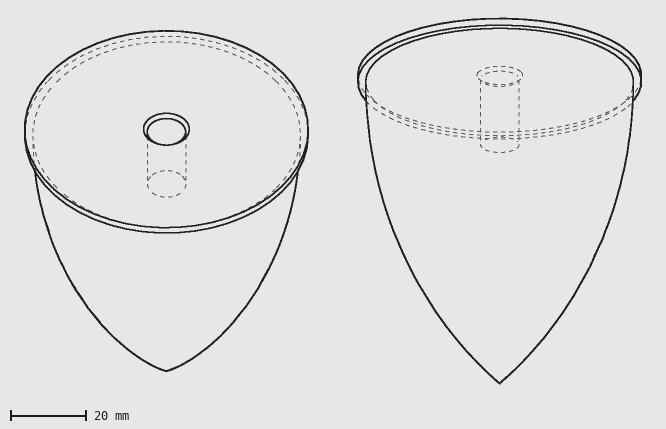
import cadquery as cq
import math

total_height = 89.0
flange_diameter = 75.0
flange_thickness = 2.0
body_diameter = 70.8
hole_diameter = 10.15
hole_depth = 20.0
hole_chamfer = 1.0

body_radius = body_diameter / 2
body_height = total_height - flange_thickness


def ogive_body():
    """Pointed body whose circular arc flank is vertical where it meets the flange."""
    arc_radius = (body_radius**2 + body_height**2) / (2 * body_radius)
    mid_angle = math.asin(body_height / arc_radius) / 2
    mid_radius = body_radius - arc_radius * (1 - math.cos(mid_angle))
    mid_height = body_height - arc_radius * math.sin(mid_angle)
    return (
        cq.Workplane("XZ")
        .moveTo(0, 0)
        .threePointArc((mid_radius, mid_height), (body_radius, body_height))
        .lineTo(0, body_height)
        .close()
        .revolve(360, (0, 0, 0), (0, 1, 0))
    )


def flange():
    """Thin round plate on top of the body."""
    return (
        cq.Workplane("XY", origin=(0, 0, body_height))
        .circle(flange_diameter / 2)
        .extrude(flange_thickness)
    )


def chamfered_hole():
    """Cutter for the central blind hole with a chamfered mouth."""
    hole_radius = hole_diameter / 2
    hole_floor = total_height - hole_depth
    return (
        cq.Workplane("XZ")
        .moveTo(0, hole_floor)
        .lineTo(hole_radius, hole_floor)
        .lineTo(hole_radius, total_height - hole_chamfer)
        .lineTo(hole_radius + hole_chamfer, total_height)
        .lineTo(0, total_height)
        .close()
        .revolve(360, (0, 0, 0), (0, 1, 0))
    )


result = ogive_body().union(flange()).cut(chamfered_hole())